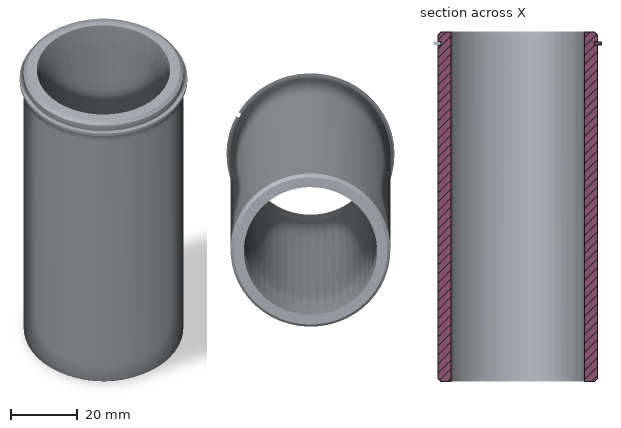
import cadquery as cq

sleeve_length = 105.0
sleeve_diameter = 48.0
bore_diameter = 40.0
end_chamfer = 0.9

ring_diameter = 50.4
ring_thickness = 1.0
ring_top_offset = 3.0
ring_gap = 1.7
groove_depth = 0.8
groove_clearance = 0.1

groove_diameter = sleeve_diameter - 2 * groove_depth
groove_width = ring_thickness + groove_clearance
ring_bottom = sleeve_length - ring_top_offset - ring_thickness


def make_washer(outer_diameter, inner_diameter, bottom, height):
    """Flat washer about the Z axis, with its lower face at the given height."""
    plane = cq.Workplane("XY").workplane(offset=bottom)
    return plane.circle(outer_diameter / 2).circle(inner_diameter / 2).extrude(height)


def make_sleeve():
    """Tube with both outer end edges chamfered and a groove for the ring."""
    blank = cq.Workplane("XY").circle(sleeve_diameter / 2).extrude(sleeve_length)
    blank = blank.faces("<Z or >Z").edges().chamfer(end_chamfer)
    bore = cq.Workplane("XY").circle(bore_diameter / 2).extrude(sleeve_length)
    groove = make_washer(ring_diameter, groove_diameter, ring_bottom, groove_width)
    return blank.cut(bore).cut(groove)


def make_split_ring():
    """Flat ring resting on the groove's lower wall, cut through at +Y."""
    ring = make_washer(ring_diameter, groove_diameter, ring_bottom, ring_thickness)
    plane = cq.Workplane("XY").workplane(offset=ring_bottom)
    split = plane.rect(ring_gap, ring_diameter).extrude(ring_thickness)
    return ring.cut(split.translate((0, ring_diameter / 2, 0)))


sleeve = make_sleeve()
split_ring = make_split_ring()

result = cq.Compound.makeCompound([sleeve.val(), split_ring.val()])